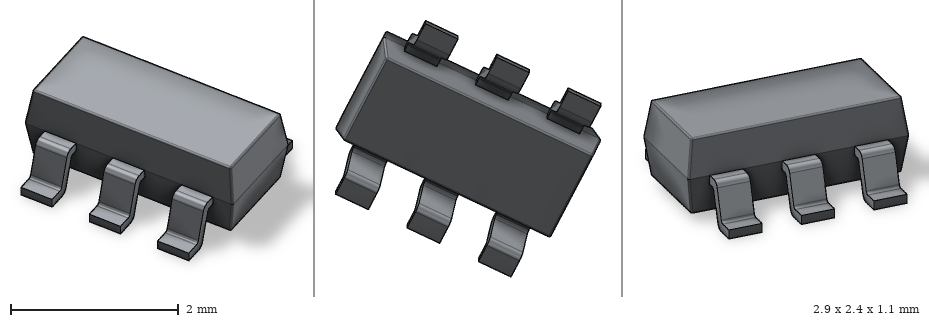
import cadquery as cq
import math


housing_length = 2.9
housing_width = 1.3
housing_bottom_z = 0.1
housing_top_z = 1.1
parting_z = (housing_bottom_z + housing_top_z) / 2
draft_angle = 8.0
housing_edge_radius = 0.023

leads_per_side = 3
lead_pitch = 0.95
lead_width = 0.435
lead_thickness = 0.12
lead_span = 2.4
foot_length = 0.212
leg_run = 0.148
outside_bend_radius = 0.1
inside_bend_radius = 0.045


def make_housing_half(height):
    """Drafted block growing from the parting plane; a negative height grows down."""
    direction = math.copysign(1, height)
    half = (
        cq.Workplane("XY", origin=(0, 0, parting_z))
        .rect(housing_length, housing_width)
        .extrude(height, taper=draft_angle)
    )
    rounded_edges = half.edges().filter(
        lambda edge: direction * (edge.Center().z - parting_z) > housing_edge_radius
    )
    return rounded_edges.fillet(housing_edge_radius)


def make_housing():
    upper_half = make_housing_half(housing_top_z - parting_z)
    lower_half = make_housing_half(housing_bottom_z - parting_z)
    return upper_half.union(lower_half)


def make_lead(housing, x_center):
    """Gull-wing lead on the -Y side, ending flush against the housing wall."""
    tip_y = -lead_span / 2
    lower_bend_y = tip_y + foot_length
    upper_bend_y = lower_bend_y + leg_run
    leg_angle = math.atan2(parting_z - lead_thickness, leg_run)
    corner_shift = lead_thickness * math.tan(leg_angle / 2)

    profile = [
        (tip_y, 0),
        (lower_bend_y + corner_shift, 0),
        (upper_bend_y + corner_shift, parting_z - lead_thickness),
        (0, parting_z - lead_thickness),
        (0, parting_z),
        (upper_bend_y, parting_z),
        (lower_bend_y, lead_thickness),
        (tip_y, lead_thickness),
    ]
    strip = (
        cq.Workplane("YZ", origin=(x_center - lead_width / 2, 0, 0))
        .polyline(profile)
        .close()
        .extrude(lead_width)
    )

    for y, z, radius in (
        (lower_bend_y + corner_shift, 0, outside_bend_radius),
        (upper_bend_y, parting_z, outside_bend_radius),
        (upper_bend_y + corner_shift, parting_z - lead_thickness, inside_bend_radius),
        (lower_bend_y, lead_thickness, inside_bend_radius),
    ):
        bend_corner = cq.Vector(x_center, y, z)
        strip = strip.edges(cq.selectors.NearestToPointSelector(bend_corner)).fillet(radius)
    return strip.cut(housing)


housing = make_housing()

leads = []
for index in range(leads_per_side):
    x_center = (index - (leads_per_side - 1) / 2) * lead_pitch
    front_lead = make_lead(housing, x_center)
    rear_lead = front_lead.mirror("XZ")
    leads += [front_lead.solids().val(), rear_lead.solids().val()]

result = cq.Compound.makeCompound([housing.solids().val(), *leads])